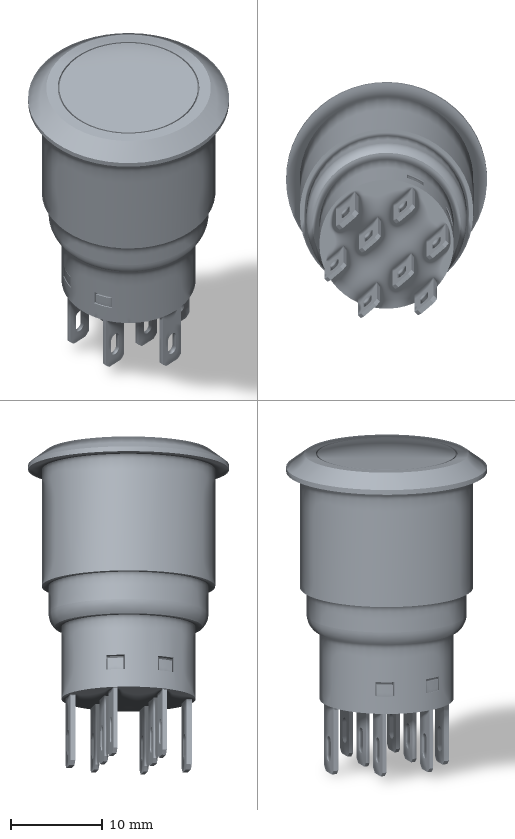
import cadquery as cq
import math


total_height = 35.3
bezel_rim_top = 33.8
bezel_bottom = 33.3
body_bottom = 20.3
collar_bottom = 15.78
base_bottom = 7.75

bezel_diameter = 22.0
bezel_face_diameter = 18.0
body_diameter = 19.0
collar_diameter = 17.5
base_diameter = 14.7

collar_arc_radius = 2.0
collar_arc_height = 1.5

cap_gap_outer_diameter = 15.5
cap_gap_width = 0.18
cap_gap_depth = 0.3

window_width = 1.9
window_height = 1.6
window_bottom = 9.75
window_offset = 2.8
window_floor_diameter = 13.3
tooth_side_gap = 0.15
tooth_top_gap = 0.32
tooth_sink = 0.1

terminal_width = 2.8
terminal_chamfer = 0.5
terminal_slot_width = 1.2
terminal_slot_height = 2.82
inner_terminal_x = 2.75
inner_terminal_thickness = 0.45
inner_terminal_tip = 0.55
inner_slot_bottom = 1.9
inner_terminal_pitch = 5.0
outer_terminal_x = 6.5
outer_terminal_thickness = 0.55
outer_terminal_tip = 0.0
outer_slot_bottom = 1.27


def make_housing():
    """Revolve the bezel, body, collar and base as one profile."""
    collar_radius = collar_diameter / 2
    base_radius = base_diameter / 2
    arc_top = collar_bottom + collar_arc_height
    arc_center_radius = collar_radius - collar_arc_radius
    arc_angle = math.asin(collar_arc_height / collar_arc_radius)

    def arc_point(angle):
        return (
            arc_center_radius + collar_arc_radius * math.cos(angle),
            arc_top - collar_arc_radius * math.sin(angle),
        )

    profile = (
        cq.Workplane("XZ")
        .moveTo(0, total_height)
        .lineTo(bezel_face_diameter / 2, total_height)
        .lineTo(bezel_diameter / 2, bezel_rim_top)
        .lineTo(bezel_diameter / 2, bezel_bottom)
        .lineTo(body_diameter / 2, bezel_bottom)
        .lineTo(body_diameter / 2, body_bottom)
        .lineTo(collar_radius, body_bottom)
        .lineTo(collar_radius, arc_top)
        .threePointArc(arc_point(arc_angle / 2), arc_point(arc_angle))
        .lineTo(base_radius, collar_bottom)
        .lineTo(base_radius, base_bottom)
        .lineTo(0, base_bottom)
        .close()
    )
    return profile.revolve(360, (0, 0, 0), (0, 1, 0))


def make_ring(outer_diameter, inner_diameter, bottom, height):
    return (
        cq.Workplane("XY", origin=(0, 0, bottom))
        .circle(outer_diameter / 2)
        .circle(inner_diameter / 2)
        .extrude(height)
    )


def make_window_bars(width, height):
    """Two bars along Y that pick out the four window places, on the -Y and +Y sides."""
    return (
        cq.Workplane("XY", origin=(0, 0, window_bottom))
        .pushPoints([(-window_offset, 0), (window_offset, 0)])
        .rect(width, base_diameter)
        .extrude(height)
    )


def make_window_cuts():
    """Window recesses, leaving the latch tooth standing inside each one."""
    recess = make_ring(base_diameter, window_floor_diameter, window_bottom, window_height)
    tooth_diameter = base_diameter - 2 * tooth_sink
    tooth_ring = make_ring(tooth_diameter, window_floor_diameter, window_bottom, window_height)
    tooth_bars = make_window_bars(window_width - 2 * tooth_side_gap, window_height - tooth_top_gap)
    teeth = tooth_ring.intersect(tooth_bars)
    return recess.intersect(make_window_bars(window_width, window_height)).cut(teeth)


def make_terminal(x, y, thickness, tip, slot_bottom):
    """Flat blade normal to X with chamfered tip corners and an upright slot."""
    blade = (
        cq.Workplane("XY", origin=(x, y, tip))
        .rect(thickness, terminal_width)
        .extrude(base_bottom - tip)
        .edges("|X and <Z")
        .chamfer(terminal_chamfer)
    )
    slot = (
        cq.Workplane("YZ", origin=(x, y, slot_bottom + terminal_slot_height / 2))
        .slot2D(terminal_slot_height, terminal_slot_width, 90)
        .extrude(thickness, both=True)
    )
    return blade.cut(slot)


cap_gap = make_ring(
    cap_gap_outer_diameter,
    cap_gap_outer_diameter - 2 * cap_gap_width,
    total_height - cap_gap_depth,
    cap_gap_depth,
)
result = make_housing().cut(cap_gap).cut(make_window_cuts())

for side in (-1, 1):
    outer_terminal = make_terminal(
        side * outer_terminal_x, 0, outer_terminal_thickness, outer_terminal_tip, outer_slot_bottom
    )
    result = result.union(outer_terminal)
    for row in (-1, 0, 1):
        inner_terminal = make_terminal(
            side * inner_terminal_x,
            row * inner_terminal_pitch,
            inner_terminal_thickness,
            inner_terminal_tip,
            inner_slot_bottom,
        )
        result = result.union(inner_terminal)